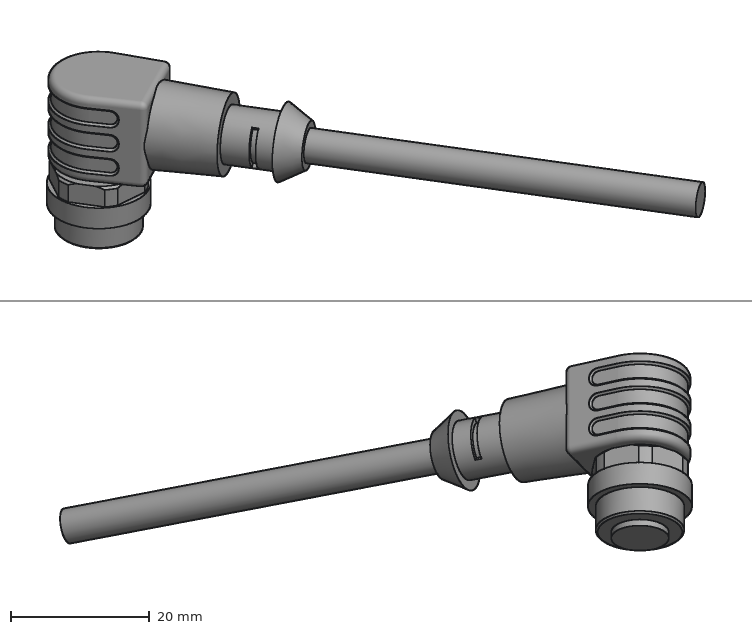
import cadquery as cq
import math

total_length = 97.55
total_height = 26.4

housing_radius = 7.3
housing_half_height = 7.0
housing_end_x = 9.0
side_taper_angle = 3.5
housing_fillet = 1.0

groove_count = 3
groove_pitch = 4.0
groove_width = 2.8
groove_depth = 0.4
groove_floor_chamfer = 0.34
groove_end_x = 5.0

sleeve_end_x = 19.4
sleeve_start_radius = 6.6
sleeve_end_radius = 6.1
sleeve_start_x = 7.8
stem_diameter = 8.8
flange_x = 27.6
flange_diameter = 11.8
flange_end_x = 31.4
flange_end_diameter = 7.3
cable_diameter = 5.2
slot_x = 24.2
slot_width = 1.0
slot_floor_diameter = 7.3
slot_half_angle = 50

neck_diameter = 9.3
neck_bottom_z = -7.7
hex_across_flats = 13.4
hex_turn_angle = 30
hex_corner_diameter = 14.4
hex_chamfer = 0.4
hex_bottom_z = -10.9
collar_diameter = 15.0
collar_bottom_z = -14.3
barrel_diameter = 12.8
barrel_bottom_z = -18.4
barrel_chamfer = 0.3
insert_diameter = 8.3

bottom_z = housing_half_height - total_height
cable_end_x = total_length - collar_diameter / 2


def housing_prism(radius):
    """Round-nosed prism of the given nose radius with its sides tapering towards the cable."""
    taper = math.radians(side_taper_angle)
    tangent_x = radius * math.sin(taper)
    tangent_y = radius * math.cos(taper)
    end_y = tangent_y - (housing_end_x - tangent_x) * math.tan(taper)
    return (
        cq.Workplane("XY", origin=(0, 0, -housing_half_height))
        .moveTo(housing_end_x, -end_y)
        .lineTo(housing_end_x, end_y)
        .lineTo(tangent_x, tangent_y)
        .threePointArc((-radius, 0), (tangent_x, -tangent_y))
        .close()
        .extrude(2 * housing_half_height)
    )


def grip_grooves():
    """Wrap-around grooves with round ends on both flanks and sloping walls at the floor."""
    core = housing_prism(housing_radius - groove_depth)
    mid_wall = housing_prism(housing_radius - groove_depth / 2).val()
    reach = 2 * housing_radius
    end_radius = groove_width / 2
    arc_x = groove_end_x - end_radius
    grooves = cq.Workplane("XY")
    for index in range(groove_count):
        z = (index - (groove_count - 1) / 2) * groove_pitch
        bar = (
            cq.Workplane("XZ", origin=(0, reach, z))
            .moveTo(-reach, -end_radius)
            .lineTo(arc_x, -end_radius)
            .threePointArc((groove_end_x, 0), (arc_x, end_radius))
            .lineTo(-reach, end_radius)
            .close()
            .extrude(2 * reach)
        )
        groove = bar.cut(core)
        floor_edges = groove.edges("not |Z").filter(lambda edge: mid_wall.isInside(edge.positionAt(0.5)))
        grooves = grooves.add(floor_edges.chamfer(groove_floor_chamfer))
    return grooves.combine()


def housing():
    """Tapered round-nosed body, rounded all round and cut by the grip grooves."""
    body = housing_prism(housing_radius).faces(">X").edges("|Z").fillet(housing_fillet)
    body = body.faces("|Z").edges().fillet(housing_fillet)
    return body.cut(grip_grooves())


def stem_slots():
    """Two opposite slots that follow the stem around X, with radial ends."""
    ring = (
        cq.Workplane("YZ", origin=(slot_x - slot_width / 2, 0, 0))
        .circle(stem_diameter / 2)
        .circle(slot_floor_diameter / 2)
        .extrude(slot_width)
    )
    wedge_y = stem_diameter
    wedge_z = wedge_y * math.tan(math.radians(slot_half_angle))
    wedges = (
        cq.Workplane("YZ", origin=(slot_x - slot_width / 2, 0, 0))
        .polyline([(0, 0), (wedge_y, wedge_z), (wedge_y, -wedge_z)])
        .close()
        .polyline([(0, 0), (-wedge_y, wedge_z), (-wedge_y, -wedge_z)])
        .close()
        .extrude(slot_width)
    )
    return ring.intersect(wedges)


def cable_side():
    """Sleeve, stem, flange and cable turned about X."""
    profile = [
        (0, 0),
        (0, cable_diameter / 2),
        (sleeve_start_x, cable_diameter / 2),
        (sleeve_start_x, sleeve_start_radius),
        (sleeve_end_x, sleeve_end_radius),
        (sleeve_end_x, stem_diameter / 2),
        (flange_x, stem_diameter / 2),
        (flange_x, flange_diameter / 2),
        (flange_end_x, flange_end_diameter / 2),
        (flange_end_x, cable_diameter / 2),
        (cable_end_x, cable_diameter / 2),
        (cable_end_x, 0),
    ]
    turned = cq.Workplane("XY").polyline(profile).close().revolve(360, (0, 0, 0), (1, 0, 0))
    return turned.cut(stem_slots())


def disc(diameter, top_z, low_z):
    """Cylinder about Z between two heights."""
    return cq.Workplane("XY", origin=(0, 0, low_z)).circle(diameter / 2).extrude(top_z - low_z)


def coupling():
    """Neck, hexagon with turned-off corners, collar, barrel and insert about Z."""
    neck = disc(neck_diameter, 0, neck_bottom_z)
    hexagon = (
        cq.Workplane("XY", origin=(0, 0, hex_bottom_z))
        .polygon(6, hex_across_flats, circumscribed=True)
        .extrude(neck_bottom_z - hex_bottom_z)
        .rotate((0, 0, 0), (0, 0, 1), hex_turn_angle)
    )
    hexagon = hexagon.intersect(
        disc(hex_corner_diameter, neck_bottom_z, hex_bottom_z).faces(">Z").chamfer(hex_chamfer)
    )
    collar = disc(collar_diameter, hex_bottom_z, collar_bottom_z)
    barrel = disc(barrel_diameter, collar_bottom_z, barrel_bottom_z).faces("<Z").chamfer(barrel_chamfer)
    insert = disc(insert_diameter, barrel_bottom_z, bottom_z)
    return neck.union(hexagon).union(collar).union(barrel).union(insert)


result = housing().union(cable_side()).union(coupling())